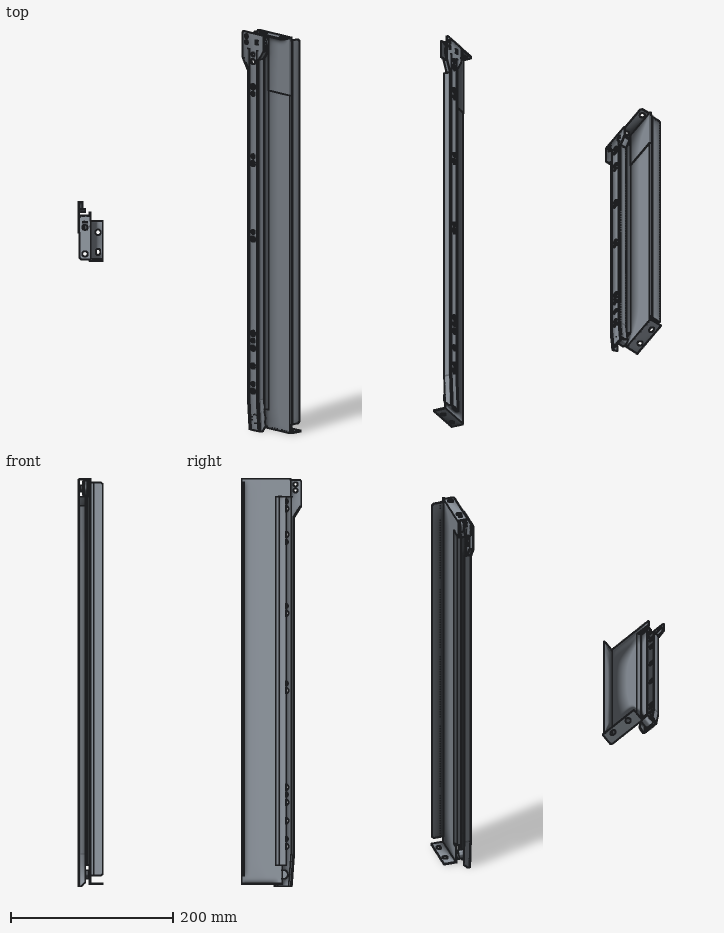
import cadquery as cq


SHEET = 1.5

CHANNEL_LOW_Y = 43.0
CHANNEL_HIGH_Y = 65.0
CHANNEL_MID_Y = (CHANNEL_LOW_Y + CHANNEL_HIGH_Y) / 2
CHANNEL_DEPTH = 9.0
BEND_RADIUS = 2.0

DIP_LENGTH = 40.0
DIP_SHIFT = 3.0
FLANGE_END_CHAMFER = 5.0

HEAD_TOP_Z = 500.5
HEAD_LOW_Y = 35.0
HEAD_HIGH_Y = 73.5
HEAD_LOW_Z = 480.0
HEAD_HIGH_Z = 468.0
LOW_FLANGE_TOP_Z = 469.0
HIGH_FLANGE_TOP_Z = 454.5
HIGH_RIM_DEPTH = 5.5
HEAD_CORNER = 1.5
HEAD_HOLE_DIAMETER = 5.0
HEAD_HOLE_Y = 66.5
HEAD_HOLE_ZS = (495.0, 487.5)

CENTRE_BAND_WIDTH = 13.5
GROOVE_WIDTH = 2.5
GROOVE_DEPTH = 0.75

LARGE_HOLE_DIAMETER = 7.0
SMALL_HOLE_DIAMETER = 5.5
LARGE_HOLE_ZS = (465.0, 433.0, 336.5, 241.0, 122.0, 103.5, 81.0, 49.0)
SMALL_HOLE_ZS = (474.0, 424.0, 345.5, 250.0, 113.0, 58.0)

FRONT_ROLLER_RADIUS = 5.5
FRONT_ROLLER_Y = 51.0
FRONT_ROLLER_Z = 14.5
FRONT_ROLLER_END_X = 13.5

TOTAL_LENGTH = 502.0
TOTAL_WIDTH_X = 30.5
WALL_X = 14.0
WALL_INNER_X = WALL_X + SHEET
WALL_TOP_Y = 40.5
WALL_BOTTOM_Z = 2.5
CORNER_BEVEL_Y = 2.0

REAR_STEP_Z = 428.5
REAR_STEP = 0.5
REAR_CORNER_RADIUS = 1.5
REAR_TAB_Y = 60.0

RAIL_X = 10.0
RAIL_SHELF_Y = 44.5
RAIL_TOP_Y = 54.5
RAIL_SLOPE_X = 11.0
RAIL_BOTTOM_Z = 26.0
RAIL_TOP_Z = 480.0

FLANGE_Y = 1.5
FLANGE_ROOT_X = 19.0
FLANGE_BOTTOM_Z = 13.0
FLANGE_TOP_Z = 497.5
FLANGE_CHAMFER = 2.5

CAP_EDGE_X = 1.75
CAP_LOW_Y = 2.0
CAP_HIGH_Y = 55.5
CAP_CORNER = 2.0
CAP_HOLE_X = 8.5
CAP_HOLE_YS = (41.5, 9.0)
CAP_HOLE_DIAMETER = 6.5
CAP_SLOT_Y = 48.0
CAP_SLOT_LENGTH = 4.5
CAP_SLOT_WIDTH = 1.0

FOOT_WIDTH_Y = 49.5
FOOT_HOLE_X = 24.5
FOOT_HOLE_Y = 35.5
FOOT_HOLE_DIAMETER = 6.5
FOOT_SLOT_Y = 11.5
FOOT_SLOT_WIDTH = 5.0
FOOT_SLOT_LENGTH = 7.5

REAR_ROLLER_RADIUS = 9.5
REAR_ROLLER_START_X = 6.0
REAR_ROLLER_END_X = 12.5
REAR_ROLLER_CHAMFER = 1.5
REAR_PIN_RADIUS = 4.0
REAR_PIN_START_X = 3.25
REAR_AXLE_Y = 47.0
REAR_AXLE_Z = 490.0
PIN_WINDOW_SIDE = 5.0


def box(x_range, y_range, z_range):
    """Block between the given limits."""
    sizes = [high - low for low, high in (x_range, y_range, z_range)]
    corner = (x_range[0], y_range[0], z_range[0])
    return cq.Workplane("XY").box(*sizes, centered=False).translate(corner)


def cylinder_x(radius, y, z, x_start, x_end):
    """Cylinder along X."""
    return cq.Workplane("YZ", origin=(x_start, y, z)).circle(radius).extrude(x_end - x_start)


def plate_yz(points, x_start, x_end):
    """Outline in Y and Z, given thickness along X."""
    return cq.Workplane("YZ", origin=(x_start, 0, 0)).polyline(points).close().extrude(x_end - x_start)


def channel_sketch(z, shift):
    """Closed C outline at height z, moved by shift in Y."""
    low = CHANNEL_LOW_Y + shift
    high = CHANNEL_HIGH_Y + shift
    bend = BEND_RADIUS
    arc_inset = bend * (1 - 0.5 ** 0.5)
    return (
        cq.Workplane("XY", origin=(0, 0, z))
        .moveTo(CHANNEL_DEPTH, low)
        .lineTo(bend, low)
        .threePointArc((arc_inset, low + arc_inset), (0, low + bend))
        .lineTo(0, high - bend)
        .threePointArc((arc_inset, high - arc_inset), (bend, high))
        .lineTo(CHANNEL_DEPTH, high)
        .lineTo(CHANNEL_DEPTH, high - SHEET)
        .lineTo(SHEET, high - SHEET)
        .lineTo(SHEET, low + SHEET)
        .lineTo(CHANNEL_DEPTH, low + SHEET)
        .close()
    )


def make_channel():
    """Straight channel with its leaning, chamfered end."""
    straight = channel_sketch(DIP_LENGTH, 0).extrude(LOW_FLANGE_TOP_Z - DIP_LENGTH)
    high_flange_end = box(
        (SHEET, CHANNEL_DEPTH),
        (CHANNEL_MID_Y, CHANNEL_HIGH_Y),
        (HIGH_FLANGE_TOP_Z, LOW_FLANGE_TOP_Z),
    )
    straight = straight.cut(high_flange_end)
    foot_wire = channel_sketch(0, -DIP_SHIFT).val()
    straight_wire = channel_sketch(DIP_LENGTH, 0).val()
    dip = cq.Workplane(cq.Solid.makeLoft([foot_wire, straight_wire], True))
    corner = (
        cq.Workplane("XZ")
        .moveTo(CHANNEL_DEPTH, 0)
        .lineTo(CHANNEL_DEPTH, FLANGE_END_CHAMFER)
        .lineTo(CHANNEL_DEPTH - FLANGE_END_CHAMFER, 0)
        .close()
        .extrude(-HEAD_HIGH_Y)
    )
    return straight.union(dip.cut(corner))


def make_head():
    """Flat head plate with rims bent up along its two sloped edges."""
    outline = [
        (HEAD_LOW_Y, HEAD_TOP_Z),
        (HEAD_LOW_Y, HEAD_LOW_Z),
        (CHANNEL_LOW_Y, LOW_FLANGE_TOP_Z),
        (CHANNEL_MID_Y, LOW_FLANGE_TOP_Z),
        (CHANNEL_MID_Y, HIGH_FLANGE_TOP_Z),
        (CHANNEL_HIGH_Y, HIGH_FLANGE_TOP_Z),
        (HEAD_HIGH_Y, HEAD_HIGH_Z),
        (HEAD_HIGH_Y, HEAD_TOP_Z - HEAD_CORNER),
        (HEAD_HIGH_Y - HEAD_CORNER, HEAD_TOP_Z),
    ]
    plate = plate_yz(outline, 0, SHEET)
    low_rim = plate_yz(
        [
            (HEAD_LOW_Y, HEAD_LOW_Z),
            (CHANNEL_LOW_Y, LOW_FLANGE_TOP_Z),
            (CHANNEL_LOW_Y + SHEET, LOW_FLANGE_TOP_Z),
            (HEAD_LOW_Y + SHEET, HEAD_LOW_Z),
        ],
        0,
        CHANNEL_DEPTH,
    )
    high_rim = plate_yz(
        [
            (CHANNEL_HIGH_Y, HIGH_FLANGE_TOP_Z),
            (HEAD_HIGH_Y, HEAD_HIGH_Z),
            (HEAD_HIGH_Y - SHEET, HEAD_HIGH_Z),
            (CHANNEL_HIGH_Y - SHEET, HIGH_FLANGE_TOP_Z),
        ],
        0,
        HIGH_RIM_DEPTH,
    )
    return plate.union(low_rim).union(high_rim)


def groove_sketch(side, z, shift):
    """Groove section at height z, deepest next to the centre band; side is +1 or -1."""
    start = CHANNEL_MID_Y + side * CENTRE_BAND_WIDTH / 2 + shift
    return (
        cq.Workplane("XY", origin=(0, 0, z))
        .moveTo(0, start)
        .lineTo(GROOVE_DEPTH, start)
        .lineTo(0, start + side * GROOVE_WIDTH)
        .close()
    )


def make_groove(side):
    """Stiffening groove along the channel, following the leaning end."""
    straight = groove_sketch(side, DIP_LENGTH, 0).extrude(HEAD_LOW_Z - DIP_LENGTH)
    foot_wire = groove_sketch(side, 0, -DIP_SHIFT).val()
    straight_wire = groove_sketch(side, DIP_LENGTH, 0).val()
    dip = cq.Workplane(cq.Solid.makeLoft([foot_wire, straight_wire], True))
    return straight.union(dip)


def make_runner():
    body = make_channel().union(make_head())
    for side in (-1, 1):
        body = body.cut(make_groove(side))
    holes = [(LARGE_HOLE_DIAMETER, CHANNEL_MID_Y, z) for z in LARGE_HOLE_ZS]
    holes += [(SMALL_HOLE_DIAMETER, CHANNEL_MID_Y, z) for z in SMALL_HOLE_ZS]
    holes += [(HEAD_HOLE_DIAMETER, HEAD_HOLE_Y, z) for z in HEAD_HOLE_ZS]
    for diameter, y, z in holes:
        body = body.cut(cylinder_x(diameter / 2, y, z, 0, SHEET))
    half = PIN_WINDOW_SIDE / 2
    window = box(
        (0, SHEET),
        (REAR_AXLE_Y - half, REAR_AXLE_Y + half),
        (REAR_AXLE_Z - half, REAR_AXLE_Z + half),
    )
    roller = cylinder_x(FRONT_ROLLER_RADIUS, FRONT_ROLLER_Y, FRONT_ROLLER_Z, SHEET, FRONT_ROLLER_END_X)
    return body.cut(window).union(roller)


def make_wall():
    """Long wall with a bevelled lower corner, proud rear stretch and a tab at each end."""
    wall = (
        cq.Workplane("XY", origin=(0, 0, WALL_BOTTOM_Z))
        .moveTo(WALL_INNER_X, 0)
        .lineTo(WALL_X, CORNER_BEVEL_Y)
        .lineTo(WALL_X, WALL_TOP_Y)
        .lineTo(WALL_INNER_X, WALL_TOP_Y)
        .close()
        .extrude(TOTAL_LENGTH - WALL_BOTTOM_Z)
    )
    proud = box(
        (WALL_X - REAR_STEP, WALL_INNER_X),
        (0, WALL_TOP_Y),
        (REAR_STEP_Z, TOTAL_LENGTH),
    )
    proud = proud.edges("|Z and <X and <Y").fillet(REAR_CORNER_RADIUS)
    tab = box((WALL_X, WALL_INNER_X), (WALL_TOP_Y, REAR_TAB_Y), (RAIL_TOP_Z, TOTAL_LENGTH))
    foot_tab = box((WALL_X, WALL_INNER_X), (WALL_TOP_Y, FOOT_WIDTH_Y), (WALL_BOTTOM_Z, RAIL_BOTTOM_Z))
    return wall.union(proud).union(tab).union(foot_tab)


def make_rail():
    """Rail that steps from the wall over to an upright web beside the channel."""
    return (
        cq.Workplane("XY", origin=(0, 0, RAIL_BOTTOM_Z))
        .moveTo(WALL_X, WALL_TOP_Y)
        .lineTo(RAIL_SLOPE_X, RAIL_SHELF_Y)
        .lineTo(RAIL_X, RAIL_SHELF_Y)
        .lineTo(RAIL_X, RAIL_TOP_Y)
        .lineTo(RAIL_X + SHEET, RAIL_TOP_Y)
        .lineTo(RAIL_X + SHEET, RAIL_SHELF_Y + SHEET)
        .lineTo(RAIL_SLOPE_X + SHEET, RAIL_SHELF_Y + SHEET)
        .lineTo(WALL_INNER_X, WALL_TOP_Y + SHEET)
        .lineTo(WALL_INNER_X, WALL_TOP_Y)
        .close()
        .extrude(RAIL_TOP_Z - RAIL_BOTTOM_Z)
    )


def make_flange():
    """Long flange on the lower edge of the wall, joined by a sloped root."""
    flange = (
        cq.Workplane("XY", origin=(0, 0, FLANGE_BOTTOM_Z))
        .moveTo(WALL_INNER_X, 0)
        .lineTo(FLANGE_ROOT_X, FLANGE_Y)
        .lineTo(TOTAL_WIDTH_X, FLANGE_Y)
        .lineTo(TOTAL_WIDTH_X, FLANGE_Y + SHEET)
        .lineTo(WALL_INNER_X, FLANGE_Y + SHEET)
        .close()
        .extrude(FLANGE_TOP_Z - FLANGE_BOTTOM_Z)
    )
    return flange.faces(">X").edges("|Y").chamfer(FLANGE_CHAMFER)


def make_cap():
    """Flange across the rear end, turned towards the runner."""
    cap = box(
        (CAP_EDGE_X, WALL_INNER_X),
        (CAP_LOW_Y, CAP_HIGH_Y),
        (TOTAL_LENGTH - SHEET, TOTAL_LENGTH),
    )
    cap = cap.faces("<X").edges("|Z").chamfer(CAP_CORNER)
    holes = (
        cq.Workplane("XY", origin=(0, 0, TOTAL_LENGTH))
        .pushPoints([(CAP_HOLE_X, y) for y in CAP_HOLE_YS])
        .circle(CAP_HOLE_DIAMETER / 2)
        .extrude(-SHEET)
    )
    slot = (
        cq.Workplane("XY", origin=(CAP_HOLE_X, CAP_SLOT_Y, TOTAL_LENGTH))
        .slot2D(CAP_SLOT_LENGTH, CAP_SLOT_WIDTH)
        .extrude(-SHEET)
    )
    return cap.cut(holes).cut(slot)


def make_foot():
    """Flange across the front end, turned away from the runner."""
    top_z = WALL_BOTTOM_Z + SHEET
    foot = box((WALL_INNER_X, TOTAL_WIDTH_X), (0, FOOT_WIDTH_Y), (WALL_BOTTOM_Z, top_z))
    hole = (
        cq.Workplane("XY", origin=(FOOT_HOLE_X, FOOT_HOLE_Y, top_z))
        .circle(FOOT_HOLE_DIAMETER / 2)
        .extrude(-SHEET)
    )
    slot = (
        cq.Workplane("XY", origin=(FOOT_HOLE_X, FOOT_SLOT_Y, top_z))
        .slot2D(FOOT_SLOT_LENGTH, FOOT_SLOT_WIDTH, 90)
        .extrude(-SHEET)
    )
    return foot.cut(hole).cut(slot)


def make_rear_roller():
    """Roller and its pin, carried by the tab of the wall."""
    roller = cylinder_x(
        REAR_ROLLER_RADIUS, REAR_AXLE_Y, REAR_AXLE_Z, REAR_ROLLER_START_X, REAR_ROLLER_END_X
    )
    roller = roller.faces("<X or >X").edges().chamfer(REAR_ROLLER_CHAMFER)
    pin = cylinder_x(REAR_PIN_RADIUS, REAR_AXLE_Y, REAR_AXLE_Z, REAR_PIN_START_X, WALL_X)
    return roller.union(pin)


def make_drawer_side():
    body = make_wall()
    for piece in (make_rail(), make_flange(), make_cap(), make_foot(), make_rear_roller()):
        body = body.union(piece)
    return body


runner = make_runner()
drawer_side = make_drawer_side()

result = cq.Compound.makeCompound([runner.solids().val(), drawer_side.solids().val()])